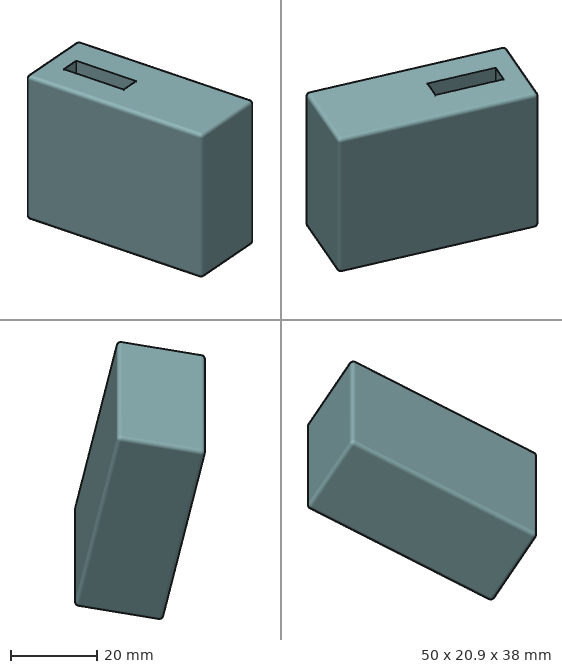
import cadquery as cq

length = 50.0
width = 20.9
height = 38.0
edge_radius = 1.0

pocket_length = 17.0
pocket_width = 5.0
pocket_depth = 30.0
pocket_left_margin = 5.45
pocket_front_margin = 7.5


def rounded_block():
    """Block with every outer edge rounded, centred on the origin."""
    return cq.Workplane("XY").box(length, width, height).edges().fillet(edge_radius)


def top_pocket():
    """Straight-sided blind pocket reaching down from the top face."""
    left = -length / 2 + pocket_left_margin
    front = -width / 2 + pocket_front_margin
    floor = height / 2 - pocket_depth
    return (
        cq.Workplane("XY")
        .box(pocket_length, pocket_width, pocket_depth, centered=False)
        .translate((left, front, floor))
    )


result = rounded_block().cut(top_pocket())